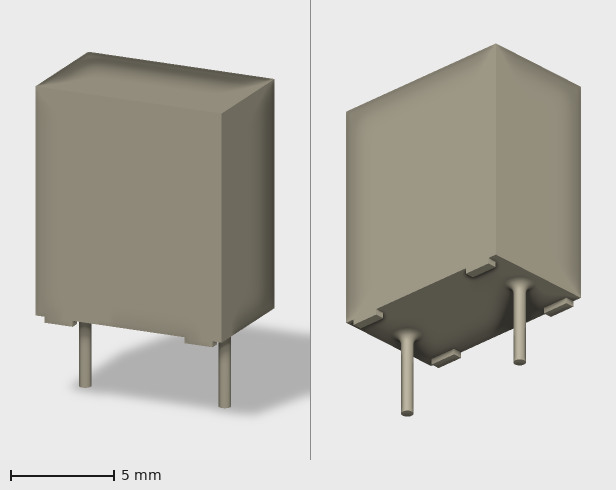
import cadquery as cq

total_height = 16
body_length = 10.0
body_width = 6.0

foot_length = 1.5
foot_width = 0.5
foot_height = 0.3

lead_spacing = 7.5
lead_diameter = 0.6
lead_below_feet = 4
meniscus_radius = 0.5

underside_z = lead_below_feet + foot_height
body_height = total_height - underside_z
lead_radius = lead_diameter / 2
lead_positions = [(-lead_spacing / 2, 0), (lead_spacing / 2, 0)]


def make_body():
    """Plain rectangular case standing above the leads."""
    return (
        cq.Workplane("XY")
        .workplane(offset=underside_z)
        .rect(body_length, body_width)
        .extrude(body_height)
    )


def make_feet():
    """Four feet flush with the long sides, centred on the leads along X."""
    foot_spacing_y = body_width - foot_width
    return (
        cq.Workplane("XY")
        .workplane(offset=lead_below_feet)
        .rect(lead_spacing, foot_spacing_y, forConstruction=True)
        .vertices()
        .rect(foot_length, foot_width)
        .extrude(foot_height)
    )


def make_lead():
    """Round lead that flares into the underside with a concave quarter-round."""
    flare_radius = lead_radius + meniscus_radius
    overlap = foot_height
    return (
        cq.Workplane("XZ")
        .lineTo(lead_radius, 0)
        .lineTo(lead_radius, underside_z - meniscus_radius)
        .radiusArc((flare_radius, underside_z), meniscus_radius)
        .lineTo(flare_radius, underside_z + overlap)
        .lineTo(0, underside_z + overlap)
        .close()
        .revolve(360, (0, 0, 0), (0, 1, 0))
    )


result = make_body().union(make_feet())
for lead_x, lead_y in lead_positions:
    result = result.union(make_lead().translate((lead_x, lead_y, 0)))